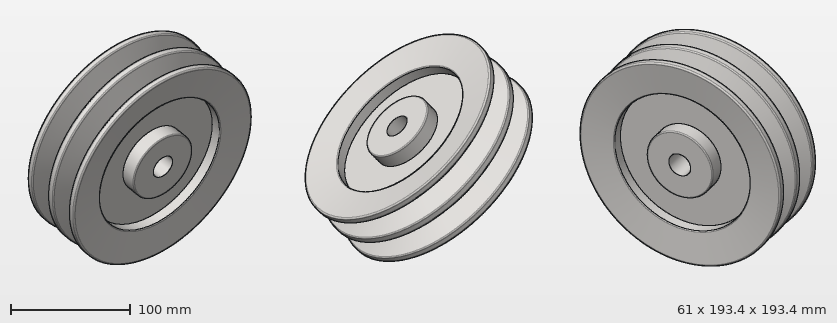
import cadquery as cq
import math

width = 61.0
outer_radius = 96.7
bore_radius = 10.5
hub_radius = 31.7

groove_pitch = 27.3
groove_depth = 20.9
groove_floor_width = 5.8
groove_half_angle = 20.0

recess_radius = 65.2
recess_depth = 14.1
dish_depth = 3.9

rim_fillet = 1.4
edge_fillet = 1.0

half_width = width / 2


def ring_profile(points):
    """Solid of revolution about X from a closed outline of (x, radius) points."""
    return cq.Workplane("XY").polyline(points).close().revolve(360, (0, 0, 0), (1, 0, 0))


def belt_groove(center_x):
    floor_half = groove_floor_width / 2
    top_half = floor_half + groove_depth * math.tan(math.radians(groove_half_angle))
    floor_radius = outer_radius - groove_depth
    return ring_profile([
        (center_x - floor_half, floor_radius),
        (center_x + floor_half, floor_radius),
        (center_x + top_half, outer_radius),
        (center_x - top_half, outer_radius),
    ])


def end_recess(side):
    """Recess between hub and rim, with the dished rim face; side is -1 or 1."""
    face = side * half_width
    floor = side * (half_width - recess_depth)
    lip = side * (half_width - dish_depth)
    return ring_profile([
        (floor, hub_radius),
        (floor, recess_radius),
        (lip, recess_radius),
        (face, outer_radius),
        (face, hub_radius),
    ])


def circles_of_radius(body, radius, min_distance=0.0):
    """Circular edges of a given radius lying at least min_distance from the middle plane."""
    tolerance = 0.002
    circles = body.edges("%CIRCLE")
    return circles.filter(
        lambda edge: abs(edge.radius() - radius) < tolerance
        and abs(edge.Center().x) >= min_distance
    )


pulley = cq.Workplane("YZ").circle(outer_radius).extrude(half_width, both=True)

for side in (-1, 1):
    pulley = pulley.cut(belt_groove(side * groove_pitch / 2))
    pulley = pulley.cut(end_recess(side))

recess_floor_x = half_width - recess_depth
above_floor = recess_floor_x + edge_fillet
pulley = circles_of_radius(pulley, outer_radius).fillet(rim_fillet)
pulley = circles_of_radius(pulley, hub_radius, above_floor).fillet(edge_fillet)
pulley = circles_of_radius(pulley, recess_radius, above_floor).fillet(edge_fillet)

bore = cq.Workplane("YZ").circle(bore_radius).extrude(half_width, both=True)
result = pulley.cut(bore)